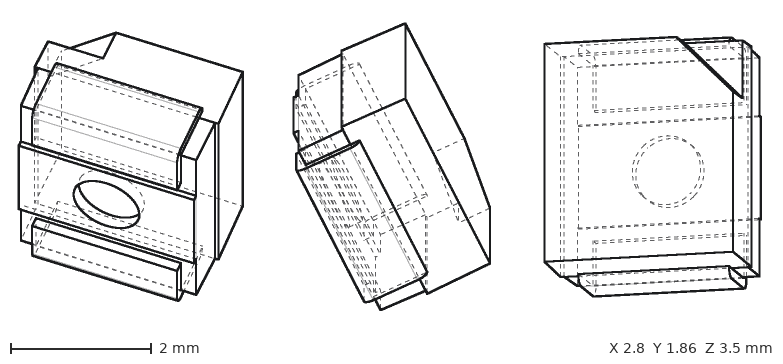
import cadquery as cq
import math

DRAFT = 1.0
BODY_HEIGHT = 3.2

HOUSING_WIDTH = 2.8
HOUSING_DEPTH = 1.0
CORNER_LEG = 0.84
CORNER_DEPTH = HOUSING_DEPTH / 2

BASE_WIDTH = 2.7
BASE_DEPTH = 0.707
PAD_HEIGHT = 1.49
PAD_THICKNESS = 0.08
RECESS_DIAMETER = 1.0
RECESS_DEPTH = 0.2

LEAD_SPAN = 3.5
LEAD_THICKNESS = (LEAD_SPAN - BODY_HEIGHT) / 2
LEAD_WIDTH = 2.21
LEAD_DEPTH = 1.0
LEAD_FOOT = 0.8


def narrowed(size, depth):
    """Size between two drafted sides at a distance from the parting plane."""
    return size - 2 * depth * math.tan(math.radians(DRAFT))


def facing_back(y):
    """XZ workplane at the given Y that extrudes toward +Y; its local y is -Z."""
    return cq.Workplane(cq.Plane(origin=(0, y, 0), xDir=(1, 0, 0), normal=(0, 1, 0)))


def facing_front(y):
    """XZ workplane at the given Y that extrudes toward -Y; its local y is Z."""
    return cq.Workplane("XZ", origin=(0, y, 0))


def make_housing():
    front = facing_back(0).rect(HOUSING_WIDTH, BODY_HEIGHT)
    housing = front.extrude(HOUSING_DEPTH - CORNER_DEPTH, taper=DRAFT)

    step_y = HOUSING_DEPTH - CORNER_DEPTH
    side_x = narrowed(HOUSING_WIDTH, step_y) / 2
    end_z = narrowed(BODY_HEIGHT, step_y) / 2
    rear_outline = [
        (-side_x, end_z),
        (side_x, end_z),
        (side_x, -end_z),
        (-side_x + CORNER_LEG, -end_z),
        (-side_x, -end_z + CORNER_LEG),
    ]
    rear = facing_back(step_y).polyline(rear_outline).close().extrude(CORNER_DEPTH, taper=DRAFT)
    return housing.union(rear, clean=True)


def make_base():
    base = facing_front(0).rect(BASE_WIDTH, BODY_HEIGHT).extrude(BASE_DEPTH, taper=DRAFT)

    pad_width = narrowed(BASE_WIDTH, BASE_DEPTH)
    pad = facing_front(-BASE_DEPTH).rect(pad_width, PAD_HEIGHT).extrude(PAD_THICKNESS)

    recess_floor = RECESS_DEPTH - BASE_DEPTH - PAD_THICKNESS
    recess = facing_front(recess_floor).circle(RECESS_DIAMETER / 2).extrude(RECESS_DEPTH)
    return base.union(pad).cut(recess)


def make_lead(side):
    """Lead on the upper (side = 1) or lower (side = -1) end of the part."""
    inner_y = -BASE_DEPTH
    outer_y = inner_y - LEAD_THICKNESS
    back_y = outer_y + LEAD_DEPTH
    inner_z = BODY_HEIGHT / 2
    outer_z = LEAD_SPAN / 2
    foot_z = outer_z - LEAD_FOOT
    arc_offset = LEAD_THICKNESS * math.sqrt(0.5)

    def point(y, z):
        return (y, side * z)

    profile = (
        cq.Workplane("YZ", origin=(-LEAD_WIDTH / 2, 0, 0))
        .moveTo(*point(inner_y, foot_z))
        .lineTo(*point(outer_y, foot_z))
        .lineTo(*point(outer_y, inner_z))
        .threePointArc(
            point(inner_y - arc_offset, inner_z + arc_offset),
            point(inner_y, outer_z),
        )
        .lineTo(*point(back_y - LEAD_THICKNESS, outer_z))
        .threePointArc(
            point(back_y - LEAD_THICKNESS + arc_offset, inner_z + arc_offset),
            point(back_y, inner_z),
        )
        .lineTo(*point(inner_y, inner_z))
        .close()
    )
    return profile.extrude(LEAD_WIDTH)


housing = make_housing()
base = make_base()
leads = []
for side in (1, -1):
    leads.append(make_lead(side).val())

result = cq.Compound.makeCompound([housing.val(), base.val(), *leads])